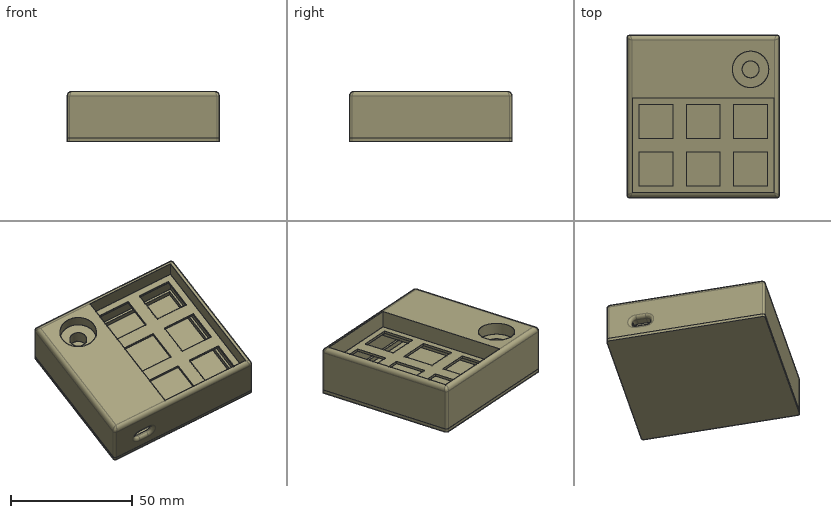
import cadquery as cq

WIDTH = 62.8
LENGTH = 67.05
HEIGHT = 20.8
CORNER_RADIUS = 1.0
TOP_FILLET = 2.0

LID_THICKNESS = 1.5
RIM_HEIGHT = 2.0
RIM_WIDTH = 1.0

KEY_COLUMNS = 3
KEY_ROWS = 2
KEY_PITCH = 19.5
KEY_WINDOW = 14.0
KEY_PLATE_THICKNESS = 1.0
KEYPAD_DEPTH = 7.1

WALL = (WIDTH - KEY_COLUMNS * KEY_PITCH) / 2
CAVITY_WIDTH = WIDTH - 2 * WALL
CAVITY_LENGTH = LENGTH - 2 * WALL

KEYPAD_WIDTH = KEY_COLUMNS * KEY_PITCH
KEYPAD_LENGTH = KEY_ROWS * KEY_PITCH
KEYPAD_CENTER_Y = -LENGTH / 2 + WALL + KEYPAD_LENGTH / 2
KEYPAD_BACK_Y = KEYPAD_CENTER_Y + KEYPAD_LENGTH / 2
KEYPAD_FLOOR_Z = HEIGHT - KEYPAD_DEPTH
KEY_PLATE_BOTTOM_Z = KEYPAD_FLOOR_Z - KEY_PLATE_THICKNESS

DECK_BOTTOM_Z = 9.7
KNOB_X = KEY_PITCH
KNOB_Y = 19.45
KNOB_RECESS_DIAMETER = 15.0
KNOB_RECESS_DEPTH = 5.0
KNOB_HOLE_DIAMETER = 7.0

PORT_Y = 19.05
PORT_Z = 8.6
PORT_HEIGHT = 4.0
PORT_LENGTH = 8.05
PORT_MOUTH_RADIUS = 1.5
PORT_DEPTH = 2 * WALL


def block(width, length, bottom, top, center_y=0.0):
    """Box centred on X = 0 that spans the given heights."""
    return (
        cq.Workplane("XY", origin=(0, center_y, bottom))
        .rect(width, length)
        .extrude(top - bottom)
    )


def make_outer_shell():
    shell = block(WIDTH, LENGTH, LID_THICKNESS, HEIGHT)
    shell = shell.edges("|Z").fillet(CORNER_RADIUS)
    return shell.faces(">Z").edges().fillet(TOP_FILLET)


def make_cavity():
    """Inside space: low below the deck and taller below the key plate."""
    low_part = block(CAVITY_WIDTH, CAVITY_LENGTH, LID_THICKNESS, DECK_BOTTOM_Z)
    keypad_part = block(
        KEYPAD_WIDTH, KEYPAD_LENGTH, LID_THICKNESS, KEY_PLATE_BOTTOM_Z, KEYPAD_CENTER_Y
    )
    return low_part.union(keypad_part)


def make_key_windows():
    return (
        cq.Workplane("XY", origin=(0, KEYPAD_CENTER_Y, KEY_PLATE_BOTTOM_Z))
        .rarray(KEY_PITCH, KEY_PITCH, KEY_COLUMNS, KEY_ROWS)
        .rect(KEY_WINDOW, KEY_WINDOW)
        .extrude(KEY_PLATE_THICKNESS)
    )


def make_knob_hole():
    top = cq.Workplane("XY", origin=(KNOB_X, KNOB_Y, HEIGHT))
    recess = top.circle(KNOB_RECESS_DIAMETER / 2).extrude(-KNOB_RECESS_DEPTH)
    hole = top.circle(KNOB_HOLE_DIAMETER / 2).extrude(DECK_BOTTOM_Z - HEIGHT)
    return recess.union(hole)


def cut_port(body):
    slot = (
        cq.Workplane("YZ", origin=(-WIDTH / 2, PORT_Y, PORT_Z))
        .slot2D(PORT_LENGTH, PORT_HEIGHT)
        .extrude(PORT_DEPTH)
    )
    mouth_edges = cq.selectors.BoxSelector(
        (-WIDTH / 2 - WALL / 2, PORT_Y - PORT_LENGTH, PORT_Z - PORT_HEIGHT),
        (-WIDTH / 2 + WALL / 2, PORT_Y + PORT_LENGTH, PORT_Z + PORT_HEIGHT),
    )
    return body.cut(slot).edges(mouth_edges).fillet(PORT_MOUTH_RADIUS)


def make_housing():
    body = cut_port(make_outer_shell())
    body = body.cut(make_cavity())
    body = body.cut(block(KEYPAD_WIDTH, KEYPAD_LENGTH, KEYPAD_FLOOR_Z, HEIGHT, KEYPAD_CENTER_Y))
    body = body.cut(make_key_windows())
    return body.cut(make_knob_hole())


def make_lid():
    plate = block(WIDTH, LENGTH, 0, LID_THICKNESS).edges("|Z").fillet(CORNER_RADIUS)
    rim_top = LID_THICKNESS + RIM_HEIGHT
    rim = block(CAVITY_WIDTH, CAVITY_LENGTH, LID_THICKNESS, rim_top).cut(
        block(CAVITY_WIDTH - 2 * RIM_WIDTH, CAVITY_LENGTH - 2 * RIM_WIDTH, LID_THICKNESS, rim_top)
    )
    return plate.union(rim)


housing = make_housing()
lid = make_lid()
result = cq.Compound.makeCompound([housing.val(), lid.val()])